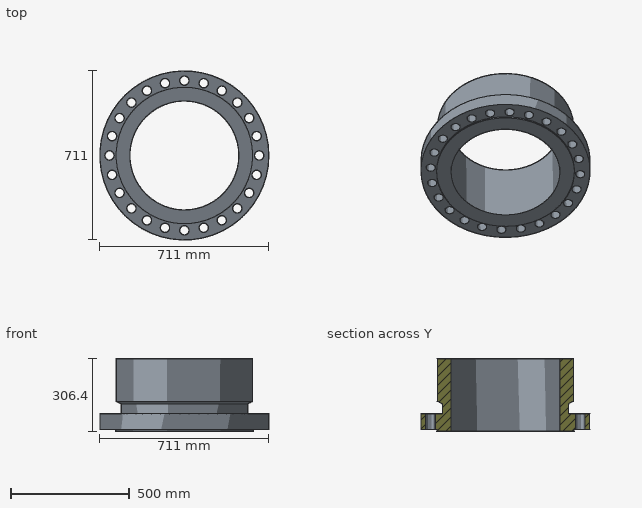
import cadquery as cq

flange_diameter = 711.0
raised_face_diameter = 579.0
hub_diameter = 533.0
body_diameter = 573.5
bore_diameter = 457.0

total_height = 306.4
raised_face_height = 8.0
flange_thickness = 67.0
hub_height = 41.0
chamfer_height = 10.5

bolt_count = 24
bolt_circle_diameter = 629.0
bolt_hole_diameter = 38.0

flange_top_z = raised_face_height + flange_thickness
hub_top_z = flange_top_z + hub_height
body_bottom_z = hub_top_z + chamfer_height


def turned_body():
    """Raised face, flange, hub, conical step and pipe body, revolved about Z."""
    bore = bore_diameter / 2
    raised_face = raised_face_diameter / 2
    flange = flange_diameter / 2
    hub = hub_diameter / 2
    body = body_diameter / 2
    profile = [
        (bore, 0),
        (raised_face, 0),
        (raised_face, raised_face_height),
        (flange, raised_face_height),
        (flange, flange_top_z),
        (hub, flange_top_z),
        (hub, hub_top_z),
        (body, body_bottom_z),
        (body, total_height),
        (bore, total_height),
    ]
    return cq.Workplane("XZ").polyline(profile).close().revolve(360, (0, 0), (0, 1))


def bolt_hole_cutters():
    """Pins through the flange, evenly spaced on the bolt circle, the first on +X."""
    return (
        cq.Workplane("XY")
        .polarArray(bolt_circle_diameter / 2, 0, 360, bolt_count)
        .circle(bolt_hole_diameter / 2)
        .extrude(flange_top_z)
    )


result = turned_body().cut(bolt_hole_cutters())